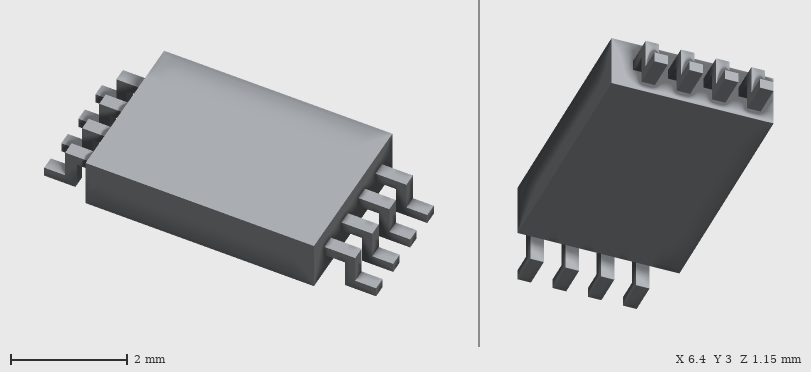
import cadquery as cq

overall_length = 6.4
overall_height = 1.15
body_length = 4.4
body_width = 3.0
body_height = 1.0

leads_per_side = 4
lead_pitch = 0.65
lead_width = 0.25
lead_thickness = 0.2
foot_length = 0.6
shoulder_top = 0.76

standoff = overall_height - body_height
body_end = body_length / 2
foot_tip = overall_length / 2
riser_inner = foot_tip - foot_length
riser_outer = riser_inner + lead_thickness


def make_body():
    return (
        cq.Workplane("XY")
        .workplane(offset=standoff)
        .box(body_length, body_width, body_height, centered=(True, True, False))
    )


def make_lead(y_center):
    """One lead on the +X end: shoulder out of the body, riser down, foot outward."""
    shoulder_bottom = shoulder_top - lead_thickness
    profile = [
        (body_end, shoulder_top),
        (riser_outer, shoulder_top),
        (riser_outer, lead_thickness),
        (foot_tip, lead_thickness),
        (foot_tip, 0),
        (riser_inner, 0),
        (riser_inner, shoulder_bottom),
        (body_end, shoulder_bottom),
    ]
    return (
        cq.Workplane("XZ", origin=(0, y_center, 0))
        .polyline(profile)
        .close()
        .extrude(lead_width / 2, both=True)
    )


result = make_body()
for index in range(leads_per_side):
    lead = make_lead((index - (leads_per_side - 1) / 2) * lead_pitch)
    result = result.union(lead).union(lead.mirror("YZ"))